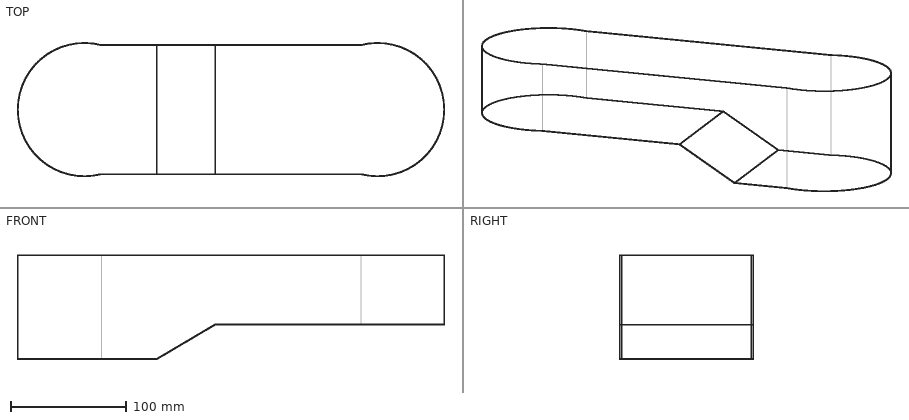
import cadquery as cq

length = 369.5
end_diameter = 115.5
web_width = 112.0
deep_height = 90.0
shallow_height = 60.2

ramp_start = 120.5
ramp_end = 171.0

end_radius = end_diameter / 2
center_distance = length - end_diameter
left_center = -center_distance / 2
right_center = center_distance / 2
left_end = -length / 2


def round_end(center_x, height):
    """Cylindrical end hanging down from the flat top at Z = 0."""
    return cq.Workplane("XY").center(center_x, 0).circle(end_radius).extrude(-height)


def stepped_web():
    """Web joining the end centers, with a ramp between its two depths."""
    return (
        cq.Workplane("XZ")
        .moveTo(left_center, 0)
        .lineTo(right_center, 0)
        .lineTo(right_center, -shallow_height)
        .lineTo(left_end + ramp_end, -shallow_height)
        .lineTo(left_end + ramp_start, -deep_height)
        .lineTo(left_center, -deep_height)
        .close()
        .extrude(web_width / 2, both=True)
    )


result = (
    stepped_web()
    .union(round_end(left_center, deep_height))
    .union(round_end(right_center, shallow_height))
    .clean()
)